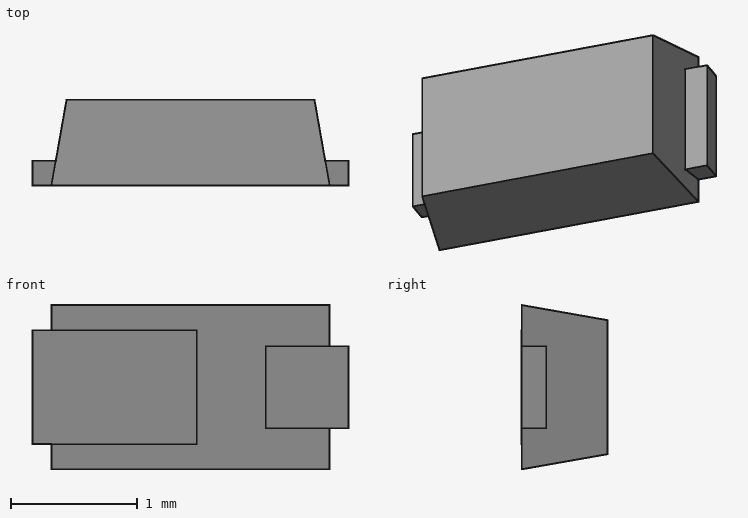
import cadquery as cq
import math

overall_length = 2.5
overall_depth = 0.68

housing_length = 2.2
housing_height = 1.3
draft_angle = 10.0
standoff = 0.0012

terminal_thickness = 0.198
large_terminal_length = 1.3
large_terminal_height = 0.9
small_terminal_length = 0.655
small_terminal_height = 0.65

housing_depth = overall_depth - standoff


def make_terminal(length, height, center_x):
    """Plate whose front face lies on Y = 0."""
    return cq.Workplane("XY").box(
        length, terminal_thickness, height, centered=(True, False, True)
    ).translate((center_x, 0, 0))


def make_housing_blank():
    """Rectangular block with all four sides drafted inward toward +Y."""
    inset = housing_depth * math.tan(math.radians(draft_angle))
    return (
        cq.Workplane("XZ", origin=(0, standoff, 0))
        .rect(housing_length, housing_height)
        .workplane(offset=-housing_depth)
        .rect(housing_length - 2 * inset, housing_height - 2 * inset)
        .loft(ruled=True)
    )


large_terminal = make_terminal(
    large_terminal_length, large_terminal_height, (large_terminal_length - overall_length) / 2
)
small_terminal = make_terminal(
    small_terminal_length, small_terminal_height, (overall_length - small_terminal_length) / 2
)

housing = make_housing_blank().cut(large_terminal).cut(small_terminal)

result = cq.Compound.makeCompound([housing.val(), large_terminal.val(), small_terminal.val()])